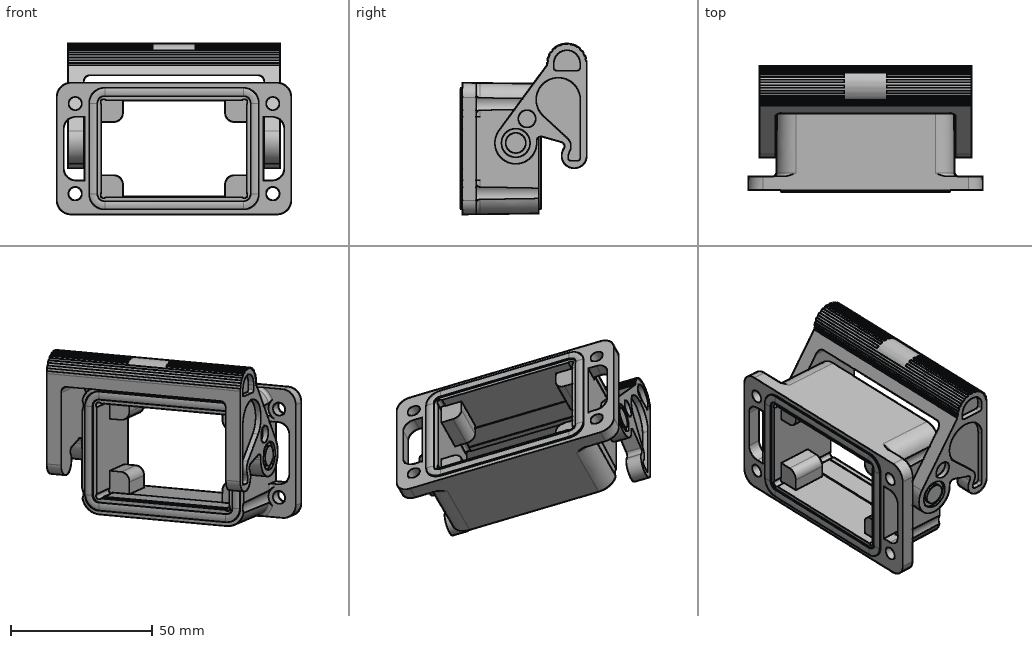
import cadquery as cq
import math


flange_width = 83.0
flange_height = 46.65
flange_thickness = 4.8
flange_corner_radius = 5.15
draft_angle = 0.7
screw_x = 34.95
screw_z = 15.9
screw_hole_radius = 2.3
screw_head_radius = 4.1

body_width = 63.4
body_corner_radius = 7.05
body_rear_y = 27.05
foot_fillet = 1.25
foot_rear_y = flange_thickness + foot_fillet

slot_outer_x = 38.9
slot_height = 22.4
slot_corner_radius = 4.15

cavity_width = 51.3
cavity_height = 34.4
step_height = 0.3
step_start_y = 17.0
step_end_y = 24.9
relief_radius = 1.1
relief_overlap = 0.75

post_inner_x = 18.0
post_inner_z = 9.4
post_front_y = 3.2
post_rear_y = 15.9
post_corner_radius = 3.3

cord_outer_width = 60.0
cord_outer_height = 43.0
cord_outer_corner_radius = 5.5
cord_width = 2.9
cord_protrusion = 0.8
cord_side_height = 0.6
cord_buried_depth = 0.4

lever_width = 75.0
lever_gap_width = 63.75
lever_rear_y = 44.0
window_top_z = 25.9
window_corner_radius = 2.15
grip_radius = 7.05
slope_drop = 0.6
overall_height = 60.5
top_z = overall_height - flange_height / 2
grip_y = lever_rear_y - grip_radius
grip_z = top_z - grip_radius
pivot_y = 18.8
pivot_z = 2.0
pivot_boss_radius = 7.4
pivot_pin_radius = 3.6
pivot_groove_radius = 5.1
pivot_groove_depth = 1.0
gap_pin_radius = 3.5
hook_radius = 4.5
hook_y = lever_rear_y - hook_radius
hook_z = -2.5
notch_radius = 1.5
notch_z = 0.8
throat_y = pivot_y + pivot_boss_radius
throat_z = 4.7
throat_fillet = 1.5

rim_width = 2.3
grip_rim_width = 2.4
recess_depth = 2.1
recess_fillet = 1.0
grip_recess_floor_z = 27.55
main_recess_radius = 7.8
main_recess_z = 17.3
main_recess_floor_z = -4.3
spot_y = 22.8
spot_z = 10.5
spot_radius = 3.1

groove_width = 1.0
groove_depth = 0.25
groove_pitch_angle = 16.4
groove_middle_angle = 2.8
grooves_each_side = 5
short_grooves_each_side = 2
emblem_width = 15.1


def polar(centre, radius, angle):
    """Point at an angle in degrees around a centre in the YZ plane."""
    y, z = centre
    return (y + radius * math.cos(math.radians(angle)), z + radius * math.sin(math.radians(angle)))


def direction(start, end):
    """Angle in degrees of the line from one point to another."""
    return math.degrees(math.atan2(end[1] - start[1], end[0] - start[0]))


def prism_y(width, height, y_start, y_end, x=0, z=0):
    """Box centred at X, Z that spans the given Y range."""
    box = cq.Workplane("XY").box(width, y_end - y_start, height)
    return box.translate((x, (y_start + y_end) / 2, z))


def cylinder_y(radius, y_start, y_end, x, z):
    cylinder = cq.Workplane("XZ").circle(radius).extrude(y_start - y_end)
    return cylinder.translate((x, y_start, z))


def cylinder_x(radius, x_start, x_end, y, z):
    return cq.Workplane("YZ", origin=(x_start, y, z)).circle(radius).extrude(x_end - x_start)


def drafted_block(width, height, corner_radius, length):
    """Rounded rectangle at Y = 0 that narrows towards +Y."""
    outline = cq.Sketch().rect(width, height).vertices().fillet(corner_radius)
    return cq.Workplane("XZ").placeSketch(outline).extrude(-length, taper=draft_angle)


def four_corners(x, z):
    return [(side * x, level * z) for side in (-1, 1) for level in (-1, 1)]


def make_body():
    return drafted_block(body_width, flange_height, body_corner_radius, body_rear_y)


def make_shell():
    """Body and flange in one, with a fillet where the body leaves the flange."""
    oversize = 33.2
    plate = prism_y(flange_width + oversize, flange_height + oversize, 0, flange_thickness)
    filleted = plate.union(make_body())
    foot = cq.selectors.BoxSelector(
        (-body_width, flange_thickness - 0.1, -flange_height / 2 - 0.8),
        (body_width, flange_thickness + 0.1, flange_height / 2 + 0.8),
    )
    filleted = filleted.edges(foot).fillet(foot_fillet)
    envelope = drafted_block(flange_width, flange_height, flange_corner_radius, body_rear_y)
    return filleted.intersect(envelope)


def make_flange_cuts():
    """Screw holes, clearance for the screw heads, and a slot for each lever arm."""
    cuts = cq.Workplane("XY")
    for x, z in four_corners(screw_x, screw_z):
        cuts = cuts.add(cylinder_y(screw_hole_radius, 0, flange_thickness, x, z))
        cuts = cuts.add(cylinder_y(screw_head_radius, flange_thickness, body_rear_y, x, z))
    slots = prism_y(2 * slot_outer_x, slot_height, 0, foot_rear_y)
    slots = slots.edges("|Y").fillet(slot_corner_radius).cut(make_body())
    return cuts.add(slots).combine()


def make_cavity():
    narrow_height = cavity_height - 2 * step_height
    cavity = prism_y(cavity_width, cavity_height, 0, step_start_y)
    cavity = cavity.union(prism_y(cavity_width, narrow_height, step_start_y, step_end_y))
    cavity = cavity.union(prism_y(cavity_width, cavity_height, step_end_y, body_rear_y))
    relief_x = cavity_width / 2 - relief_overlap
    relief_z = cavity_height / 2 - relief_overlap
    for x, z in four_corners(relief_x, relief_z):
        cavity = cavity.union(cylinder_y(relief_radius, 0, body_rear_y, x, z))
    return cavity


def add_posts(housing):
    outer_x = cavity_width / 2 + relief_radius
    outer_z = cavity_height / 2 + relief_radius
    post = prism_y(
        outer_x - post_inner_x,
        outer_z - post_inner_z,
        post_front_y,
        post_rear_y,
        x=(outer_x + post_inner_x) / 2,
        z=(outer_z + post_inner_z) / 2,
    )
    post = post.edges("|Y and <X and <Z").fillet(post_corner_radius)
    pair = post.union(post.mirror("YZ"))
    return housing.union(pair).union(pair.mirror("XY"))


def make_cord():
    """Cord along a rounded rectangle, standing out towards -Y from a face at Y = 0."""
    half_cord = cord_width / 2
    path = (
        cq.Workplane("XZ")
        .placeSketch(
            cq.Sketch()
            .rect(cord_outer_width - cord_width, cord_outer_height - cord_width)
            .vertices()
            .fillet(cord_outer_corner_radius - half_cord)
        )
        .extrude(0.8)
        .faces(">Y")
        .wires()
        .val()
    )
    section_plane = cq.Plane(origin=path.startPoint(), xDir=(0, -1, 0), normal=path.tangentAt(0))
    section = (
        cq.Workplane(section_plane)
        .moveTo(-cord_buried_depth, -half_cord)
        .lineTo(cord_side_height, -half_cord)
        .threePointArc((cord_protrusion, 0), (cord_side_height, half_cord))
        .lineTo(-cord_buried_depth, half_cord)
        .close()
    )
    return section.sweep(cq.Workplane(path))


def make_housing():
    housing = make_shell().cut(make_flange_cuts()).cut(make_cavity())
    cord = make_cord()
    rear_cord = cord.mirror("XZ").translate((0, body_rear_y, 0))
    return add_posts(housing).union(cord).union(rear_cord)


pivot = (pivot_y, pivot_z)
hook_centre = (hook_y, hook_z)
notch_y = hook_y - math.sqrt((hook_radius + notch_radius) ** 2 - (notch_z - hook_z) ** 2)
notch_centre = (notch_y, notch_z)
hook_angle = direction(hook_centre, notch_centre)


def make_lever_outline():
    """Side outline: grip, sloping front edge, pivot boss, throat, locking hook and flat rear."""
    slope_start = (grip_y - grip_radius, grip_z - slope_drop)
    slope_length = math.dist(slope_start, pivot)
    slope_angle = direction(pivot, slope_start) + math.degrees(math.acos(pivot_boss_radius / slope_length))
    throat = (throat_y, throat_z)
    throat_length = math.dist(throat, notch_centre)
    notch_end = direction(notch_centre, throat) - math.degrees(math.acos(notch_radius / throat_length))
    notch_start = hook_angle + 180
    outline = (
        cq.Workplane("YZ", origin=(-lever_width / 2, 0, 0))
        .moveTo(lever_rear_y, grip_z)
        .threePointArc((grip_y, grip_z + grip_radius), (grip_y - grip_radius, grip_z))
        .lineTo(*slope_start)
        .lineTo(*polar(pivot, pivot_boss_radius, slope_angle))
        .threePointArc(polar(pivot, pivot_boss_radius, 270), (pivot_y + pivot_boss_radius, pivot_z))
        .lineTo(*throat)
        .lineTo(*polar(notch_centre, notch_radius, notch_end))
        .threePointArc(
            polar(notch_centre, notch_radius, 20),
            polar(notch_centre, notch_radius, notch_start),
        )
        .threePointArc(polar(hook_centre, hook_radius, 270), (lever_rear_y, hook_z))
        .close()
    )
    blank = outline.extrude(lever_width)
    throat_edge = cq.selectors.NearestToPointSelector((0, throat_y, throat_z))
    return blank.edges(throat_edge).fillet(throat_fillet)


def make_grip_recess():
    radius = grip_radius - grip_rim_width
    recess = (
        cq.Workplane("YZ")
        .moveTo(grip_y + radius, grip_recess_floor_z)
        .lineTo(grip_y + radius, grip_z)
        .threePointArc((grip_y, grip_z + radius), (grip_y - radius, grip_z))
        .lineTo(grip_y - radius, grip_recess_floor_z)
        .close()
        .extrude(recess_depth)
    )
    return recess.edges("|X and <Z").fillet(recess_fillet)


def make_main_recess():
    """Teardrop recess that follows the rear edge and runs down into the hook."""
    rear_y = lever_rear_y - rim_width
    centre = (rear_y - main_recess_radius, main_recess_z)
    neck_radius = notch_radius + rim_width
    hook_recess_radius = hook_radius - rim_width
    neck_start = 45
    recess = (
        cq.Workplane("YZ")
        .moveTo(rear_y, main_recess_floor_z)
        .lineTo(rear_y, main_recess_z)
        .threePointArc(polar(centre, main_recess_radius, 90), polar(centre, main_recess_radius, 225))
        .lineTo(*polar(notch_centre, neck_radius, neck_start))
        .threePointArc(
            polar(notch_centre, neck_radius, 0),
            polar(notch_centre, neck_radius, hook_angle + 180),
        )
        .lineTo(hook_y - hook_recess_radius, hook_z)
        .lineTo(hook_y - hook_recess_radius, main_recess_floor_z)
        .close()
        .extrude(recess_depth)
    )
    return recess.edges("|X and <Z").fillet(recess_fillet)


def make_cheek_recesses():
    """All recesses of one cheek, sunk from X = 0 towards +X."""
    groove = cylinder_x(pivot_groove_radius, 0, pivot_groove_depth, *pivot)
    groove = groove.cut(cylinder_x(pivot_pin_radius, 0, pivot_groove_depth, *pivot))
    spot = cylinder_x(spot_radius, 0, recess_depth, spot_y, spot_z)
    recesses = cq.Workplane("XY").add(make_grip_recess()).add(make_main_recess())
    return recesses.add(groove).add(spot).combine()


def cut_finger_grooves(lever):
    short_length = (lever_width - emblem_width) / 2
    short_x = (lever_width + emblem_width) / 4
    groove_top = grip_z + grip_radius - groove_depth / 2
    long_groove = cq.Workplane("XY").box(lever_width, groove_width, groove_depth)
    short_groove = (
        cq.Workplane("XY")
        .pushPoints([(-short_x, 0), (short_x, 0)])
        .box(short_length, groove_width, groove_depth)
    )
    for step in range(-grooves_each_side, grooves_each_side + 1):
        tool = short_groove if abs(step) <= short_grooves_each_side else long_groove
        angle = groove_middle_angle + step * groove_pitch_angle
        tool = tool.translate((0, grip_y, groove_top))
        lever = lever.cut(tool.rotate((0, grip_y, grip_z), (1, grip_y, grip_z), angle))
    return lever


def make_lever():
    lever = make_lever_outline()
    window_floor_z = hook_z - 2 * hook_radius
    window = prism_y(
        lever_gap_width,
        window_top_z - window_floor_z,
        0,
        lever_rear_y,
        z=(window_top_z + window_floor_z) / 2,
    )
    window = window.edges("|Y and >Z").fillet(window_corner_radius)
    recesses = make_cheek_recesses().translate((-lever_width / 2, 0, 0))
    lever = lever.cut(window).cut(recesses).cut(recesses.mirror("YZ"))
    return cut_finger_grooves(lever)


def make_gap_pins():
    """Pivot pins that bridge the gap between the body sides and the lever arms."""
    inner_x = (cavity_width + body_width) / 4
    pin = cylinder_x(gap_pin_radius, inner_x, lever_gap_width / 2, *pivot)
    return pin.union(pin.mirror("YZ"))


result = make_housing().union(make_gap_pins()).union(make_lever())